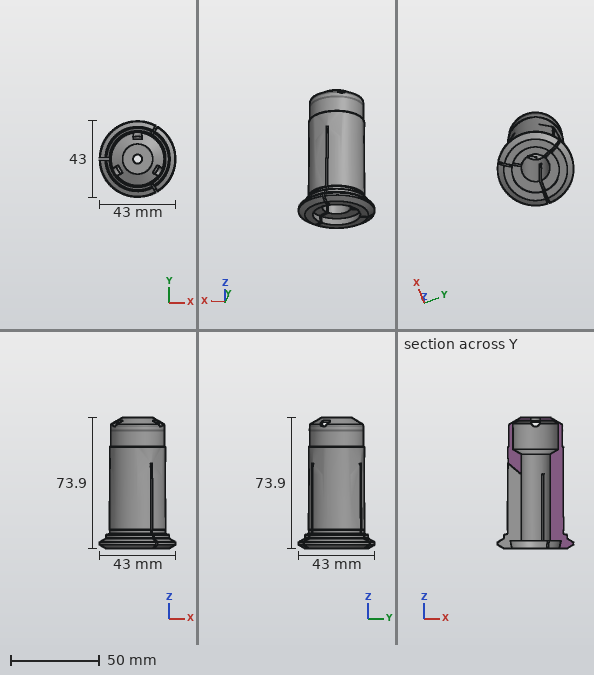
import cadquery as cq
import math

total_height = 73.9
flange_radius = 21.5

base_radius = 17.9
rim_bottom_z = 2.15
rim_top_z = 3.45
rim_chamfer_width = 0.4
rim_chamfer_top_z = 3.9
flange_cone_top_z = 5.5
flange_cone_top_radius = 18.3

collar_radius = 17.9
collar_bottom_z = 6.0
collar_top_z = 8.05
collar_chamfer = 0.45
neck_fillet_width = 1.15
neck_fillet_height = 0.7
neck_fillet_radius = (neck_fillet_width**2 + neck_fillet_height**2) / (2 * neck_fillet_height)

neck_radius = 15.75
neck_top_z = 10.25
body_bottom_z = 10.8
body_bottom_radius = 15.97
body_waist_z = 40.0
body_waist_radius = 15.66
body_top_z = 57.1
body_top_radius = 15.78

head_radius = 15.25
head_bottom_z = 57.8
head_top_z = 66.5
taper_bottom_z = 67.0
taper_bottom_radius = 15.28
nose_radius = 15.2
nose_bottom_z = 69.3
nose_round_top_z = 70.2
nose_flat_radius = 8.5
nose_angle = math.radians(30)
nose_round_top_radius = nose_flat_radius + (total_height - nose_round_top_z) / math.tan(nose_angle)

bore_radius = 16.0 / 2
mouth_radius = 26.7 / 2
mouth_inner_radius = 28.5 / 2
mouth_depth = 4.3
chamber_radius = 25.5 / 2
chamber_cone_top_z = 56.0
chamber_cone_angle = math.radians(30)
chamber_cone_bottom_z = chamber_cone_top_z - (chamber_radius - bore_radius) * math.tan(chamber_cone_angle)
roof_z = 72.1
roof_wall_thickness = 1.1
centre_hole_radius = 5.0 / 2

slit_width = 1.2
slit_angles = (60, 180, 300)
slit_end_z = 41.7
slit_end_slope = math.radians(40)

window_width = 5.0
window_angles = (90, 210, 330)
window_axis_z = 71.3
window_inner_radius = 11.23

clearance = 1.0

z_axis = ((0, 0, 0), (0, 0, 1))


def outer_body():
    """Revolved outside shape, still solid."""
    profile = (
        cq.Workplane("XZ")
        .lineTo(base_radius, 0)
        .lineTo(flange_radius, rim_bottom_z)
        .lineTo(flange_radius, rim_top_z)
        .lineTo(flange_radius - rim_chamfer_width, rim_chamfer_top_z)
        .lineTo(flange_cone_top_radius, flange_cone_top_z)
        .lineTo(collar_radius, collar_bottom_z)
        .lineTo(collar_radius, collar_top_z - collar_chamfer)
        .lineTo(collar_radius - collar_chamfer, collar_top_z)
        .lineTo(neck_radius + neck_fillet_width, collar_top_z)
        .radiusArc((neck_radius, collar_top_z + neck_fillet_height), neck_fillet_radius)
        .lineTo(neck_radius, neck_top_z)
        .lineTo(body_bottom_radius, body_bottom_z)
        .threePointArc((body_waist_radius, body_waist_z), (body_top_radius, body_top_z))
        .lineTo(head_radius, head_bottom_z)
        .lineTo(head_radius, head_top_z)
        .lineTo(taper_bottom_radius, taper_bottom_z)
        .lineTo(nose_radius, nose_bottom_z)
        .tangentArcPoint((nose_round_top_radius, nose_round_top_z), relative=False)
        .lineTo(nose_flat_radius, total_height)
        .lineTo(0, total_height)
        .close()
    )
    return profile.revolve(360, (0, 0, 0), (0, 1, 0))


def nose_cone_z(radius):
    """Height of the nose cone surface at a given radius."""
    return total_height - (radius - nose_flat_radius) * math.tan(nose_angle)


def cavity():
    """Revolved hollow running from the flange mouth to the hole in the nose."""
    roof_drop = total_height - roof_z - roof_wall_thickness
    roof_edge_radius = nose_flat_radius + roof_drop / math.tan(nose_angle)
    profile = (
        cq.Workplane("XZ")
        .lineTo(mouth_radius, 0)
        .lineTo(mouth_inner_radius, mouth_depth)
        .lineTo(bore_radius, mouth_depth)
        .lineTo(bore_radius, chamber_cone_bottom_z)
        .lineTo(chamber_radius, chamber_cone_top_z)
        .lineTo(chamber_radius, nose_cone_z(chamber_radius) - roof_wall_thickness)
        .lineTo(roof_edge_radius, roof_z)
        .lineTo(centre_hole_radius, roof_z)
        .lineTo(centre_hole_radius, total_height)
        .lineTo(0, total_height)
        .close()
    )
    return profile.revolve(360, (0, 0, 0), (0, 1, 0))


def slit(angle):
    """Radial slit from the bore outward, its upper end sloping up to the surface."""
    reach = flange_radius + clearance
    profile = (
        cq.Workplane("XZ")
        .lineTo(reach, 0)
        .lineTo(reach, slit_end_z + (reach - bore_radius) * math.tan(slit_end_slope))
        .lineTo(bore_radius, slit_end_z)
        .lineTo(0, slit_end_z)
        .close()
    )
    return profile.extrude(slit_width / 2, both=True).rotate(*z_axis, angle)


def window(angle):
    """Radial opening with a half-round floor and a flat inner end."""
    length = flange_radius - window_inner_radius
    profile_plane = cq.Workplane("YZ", origin=(window_inner_radius, 0, window_axis_z))
    round_floor = profile_plane.circle(window_width / 2).extrude(length)
    upper_part = (
        profile_plane
        .center(-window_width / 2, 0)
        .rect(window_width, total_height - window_axis_z, centered=False)
        .extrude(length)
    )
    return round_floor.union(upper_part).rotate(*z_axis, angle)


result = outer_body().cut(cavity())
for slit_angle in slit_angles:
    result = result.cut(slit(slit_angle))
for window_angle in window_angles:
    result = result.cut(window(window_angle))